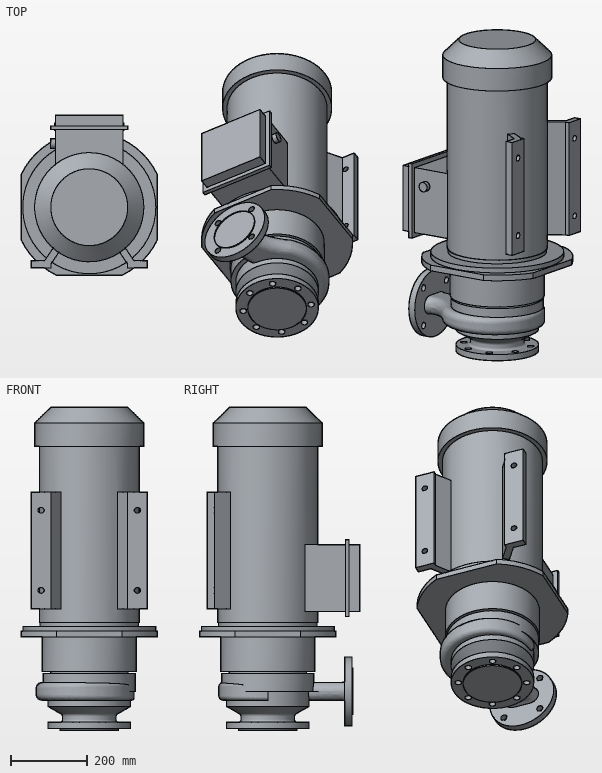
import cadquery as cq
import math

total_height = 849.0
mounting_face_z = 261.0

suction_raised_radius = 77.0
raised_face_height = 4.0
suction_flange_radius = 109.0
suction_flange_top_z = 21.0
suction_bolt_circle_radius = 90.0
suction_bolt_count = 8
bolt_hole_radius = 8.5
neck_radius = 70.5
neck_lower_fillet = 7.0
neck_upper_fillet = 8.5
neck_straight_top_z = 36.0
cone_angle = math.radians(60)

casing_step_z = 102.0
casing_radius = 121.0
casing_top_z = 149.0
groove_radius = 102.0
lantern_bottom_z = 154.5
lantern_radius = 124.0
plate_bottom_z = 245.0
plate_radius = 199.0
plate_width = 358.0

volute_bottom_z = 79.0
volute_top_z = 126.0
volute_height = volute_top_z - volute_bottom_z
volute_mid_z = (volute_top_z + volute_bottom_z) / 2
volute_inner_radius = 51.0
volute_start_radius = 118.0
volute_end_radius = 145.0
volute_start_rounding = 8.0
volute_end_rounding = 18.0
run_out_rounding = 21.0
volute_end_angle = 225
volute_section_count = 6
volute_run_out = 51.0
sliver = 1.0

discharge_width = 92.0
discharge_flare = 2.0
flare_start_y = 193.5
discharge_flange_y = 202.0
discharge_flange_thickness = 19.5
discharge_flange_radius = 91.0
discharge_raised_radius = 61.0
discharge_raised_height = 2.5
discharge_bolt_circle_radius = 72.0
discharge_bolt_count = 4

motor_flange_radius = 175.0
motor_flange_top_z = 273.0
motor_neck_radius = 130.0
motor_neck_top_z = 283.5
motor_radius = 132.0
cap_bottom_z = 746.0
cap_radius = 143.5
cap_cone_z = 807.0
cap_top_radius = 101.0

box_width = 177.5
box_bottom_z = 312.0
box_top_z = 488.0
box_front_y = 242.0
box_mid_z = (box_bottom_z + box_top_z) / 2
rim_overhang = 13.0
rim_back_y = 204.0
rim_thickness = 10.0
gland_radius = 13.0
gland_length = 13.0
gland_y = 167.0
gland_z = 443.0

foot_bottom_z = 319.0
foot_top_z = 626.0
foot_inner_x = 100.0
foot_outer_x = 153.0
foot_front_y = -160.0
foot_back_y = -140.0
web_thickness = 19.0
web_angle = math.radians(56)
foot_hole_x = 126.5
foot_hole_radius = 8.0
foot_hole_heights = (368.0, 578.0)


def cylinder(radius, bottom_z, top_z):
    return cq.Workplane().workplane(offset=bottom_z).circle(radius).extrude(top_z - bottom_z)


def bolt_angles(count):
    """Angles of evenly spaced bolts that straddle the main axes."""
    return [2 * math.pi * (i + 0.5) / count for i in range(count)]


def make_pump_core():
    """Turned part of the pump, from the suction face up to the lantern."""
    arc_end_radius = neck_radius + neck_upper_fillet * (1 - math.cos(cone_angle))
    arc_end_z = neck_straight_top_z + neck_upper_fillet * math.sin(cone_angle)
    arc_mid_radius = neck_radius + neck_upper_fillet * (1 - math.cos(cone_angle / 2))
    arc_mid_z = neck_straight_top_z + neck_upper_fillet * math.sin(cone_angle / 2)
    cone_top_z = arc_end_z + (suction_flange_radius - arc_end_radius) / math.tan(cone_angle)
    neck_bottom_z = suction_flange_top_z + neck_lower_fillet
    profile = (
        cq.Workplane("XZ")
        .moveTo(0, 0)
        .lineTo(suction_raised_radius, 0)
        .lineTo(suction_raised_radius, raised_face_height)
        .lineTo(suction_flange_radius, raised_face_height)
        .lineTo(suction_flange_radius, suction_flange_top_z)
        .lineTo(neck_radius + neck_lower_fillet, suction_flange_top_z)
        .radiusArc((neck_radius, neck_bottom_z), neck_lower_fillet)
        .lineTo(neck_radius, neck_straight_top_z)
        .threePointArc((arc_mid_radius, arc_mid_z), (arc_end_radius, arc_end_z))
        .lineTo(suction_flange_radius, cone_top_z)
        .lineTo(suction_flange_radius, casing_step_z)
        .lineTo(casing_radius, casing_step_z)
        .lineTo(casing_radius, casing_top_z)
        .lineTo(groove_radius, casing_top_z)
        .lineTo(groove_radius, lantern_bottom_z)
        .lineTo(lantern_radius, lantern_bottom_z)
        .lineTo(lantern_radius, plate_bottom_z)
        .lineTo(0, plate_bottom_z)
        .close()
    )
    return profile.revolve(360, (0, 0, 0), (0, 1, 0))


def make_suction_bolt_holes():
    centres = [
        (suction_bolt_circle_radius * math.cos(a), suction_bolt_circle_radius * math.sin(a))
        for a in bolt_angles(suction_bolt_count)
    ]
    return cq.Workplane().pushPoints(centres).circle(bolt_hole_radius).extrude(suction_flange_top_z)


def make_mounting_plate():
    """Round plate with four flats."""
    disc = cylinder(plate_radius, plate_bottom_z, mounting_face_z)
    square = cq.Workplane().rect(plate_width, plate_width).extrude(mounting_face_z)
    return disc.intersect(square)


def rounded_section(plane, width, height, rounding):
    """Closed rectangle with round corners, centred on the plane's origin."""
    x, y = width / 2, height / 2
    xi, yi = x - rounding, y - rounding
    return (
        cq.Workplane(plane)
        .moveTo(-xi, -y)
        .lineTo(xi, -y)
        .radiusArc((x, -yi), -rounding)
        .lineTo(x, yi)
        .radiusArc((xi, y), -rounding)
        .lineTo(-xi, y)
        .radiusArc((-x, yi), -rounding)
        .lineTo(-x, -yi)
        .radiusArc((-xi, -y), -rounding)
        .close()
        .val()
    )


def scroll_rounding(fraction):
    """Corner rounding of the scroll at a fraction of its sweep."""
    return volute_start_rounding + (volute_end_rounding - volute_start_rounding) * fraction


def volute_section(fraction, rounding, run_out=0):
    """Radial section of the scroll at a fraction of its sweep, moved onward by run_out."""
    angle = math.radians(volute_end_angle * fraction)
    outer_radius = volute_start_radius + (volute_end_radius - volute_start_radius) * fraction
    mid_radius = (outer_radius + volute_inner_radius) / 2
    outward = (math.cos(angle), -math.sin(angle), 0)
    onward = (-math.sin(angle), -math.cos(angle), 0)
    centre_x = mid_radius * outward[0] + run_out * onward[0]
    centre_y = mid_radius * outward[1] + run_out * onward[1]
    plane = cq.Plane((centre_x, centre_y, volute_mid_z), outward, onward)
    return rounded_section(plane, outer_radius - volute_inner_radius, volute_height, rounding)


def discharge_section(y, growth):
    """Round-ended section of the discharge pipe, widened all round by growth."""
    plane = cq.Plane((0, y, volute_mid_z), (-1, 0, 0), (0, 1, 0))
    height = volute_height + 2 * growth
    return rounded_section(plane, discharge_width + 2 * growth, height, (height - sliver) / 2)


def make_volute():
    """Scroll that grows around the casing and runs out to the discharge flange."""
    fractions = [i / (volute_section_count - 1) for i in range(volute_section_count)]
    sections = [volute_section(fraction, scroll_rounding(fraction)) for fraction in fractions]
    run_out_end = volute_section(1, run_out_rounding, volute_run_out)
    pipe_end = discharge_section(flare_start_y, 0)
    flare_end = discharge_section(discharge_flange_y, discharge_flare)
    scroll = cq.Solid.makeLoft(sections)
    discharge_pipe = cq.Solid.makeLoft([sections[-1], run_out_end, pipe_end])
    flare = cq.Solid.makeLoft([pipe_end, flare_end], True)
    return cq.Workplane(scroll).union(cq.Workplane(discharge_pipe)).union(cq.Workplane(flare))


def make_discharge_flange():
    plane = cq.Plane((0, discharge_flange_y, volute_mid_z), (-1, 0, 0), (0, 1, 0))
    bolts = [
        (discharge_bolt_circle_radius * math.cos(a), discharge_bolt_circle_radius * math.sin(a))
        for a in bolt_angles(discharge_bolt_count)
    ]
    disc = cq.Workplane(plane).circle(discharge_flange_radius).extrude(discharge_flange_thickness)
    holes = (
        cq.Workplane(plane).pushPoints(bolts).circle(bolt_hole_radius).extrude(discharge_flange_thickness)
    )
    raised_face = (
        cq.Workplane(plane)
        .circle(discharge_raised_radius)
        .extrude(discharge_flange_thickness + discharge_raised_height)
    )
    return disc.cut(holes).union(raised_face)


def make_pump():
    return (
        make_pump_core()
        .cut(make_suction_bolt_holes())
        .union(make_mounting_plate())
        .union(make_volute())
        .union(make_discharge_flange())
    )


def make_motor_barrel():
    """Turned part of the motor, with its flange and its conical fan cap."""
    flange = cylinder(motor_flange_radius, mounting_face_z, motor_flange_top_z)
    neck = cylinder(motor_neck_radius, motor_flange_top_z, motor_neck_top_z)
    barrel = cylinder(motor_radius, motor_neck_top_z, cap_bottom_z)
    cap = (
        cq.Workplane("XZ")
        .moveTo(0, cap_bottom_z)
        .lineTo(cap_radius, cap_bottom_z)
        .lineTo(cap_radius, cap_cone_z)
        .lineTo(cap_top_radius, total_height)
        .lineTo(0, total_height)
        .close()
        .revolve(360, (0, 0, 0), (0, 1, 0))
    )
    return flange.union(neck).union(barrel).union(cap)


def box_slab(width, height, back_y, front_y):
    """Block centred on the terminal box, between two Y positions."""
    depth = front_y - back_y
    centre = (0, (back_y + front_y) / 2, box_mid_z)
    return cq.Workplane().box(width, depth, height).translate(centre)


def make_terminal_box():
    height = box_top_z - box_bottom_z
    box = box_slab(box_width, height, 0, box_front_y)
    rim = box_slab(
        box_width + 2 * rim_overhang, height + 2 * rim_overhang, rim_back_y, rim_back_y + rim_thickness
    )
    gland_plane = cq.Plane((-box_width / 2, gland_y, gland_z), (0, 1, 0), (-1, 0, 0))
    gland = cq.Workplane(gland_plane).circle(gland_radius).extrude(gland_length)
    return box.union(rim).union(gland)


def make_right_foot():
    """Foot pad with a slanted web that reaches into the barrel; the +X one of the pair."""
    slope = math.tan(web_angle)
    web_inner_y = -foot_inner_x * slope
    offset_x = web_thickness / math.sin(web_angle)
    web_root_y = -motor_radius / 2
    web_root_x = -web_root_y / slope
    foot = (
        cq.Workplane()
        .workplane(offset=foot_bottom_z)
        .moveTo(foot_inner_x, foot_front_y)
        .lineTo(foot_outer_x, foot_front_y)
        .lineTo(foot_outer_x, foot_back_y)
        .lineTo(-foot_back_y / slope + offset_x, foot_back_y)
        .lineTo(web_root_x + offset_x, web_root_y)
        .lineTo(web_root_x, web_root_y)
        .lineTo(foot_inner_x, web_inner_y)
        .close()
        .extrude(foot_top_z - foot_bottom_z)
    )
    hole_centres = [(foot_hole_x, z) for z in foot_hole_heights]
    holes = (
        cq.Workplane("XZ", origin=(0, foot_back_y, 0))
        .pushPoints(hole_centres)
        .circle(foot_hole_radius)
        .extrude(foot_back_y - foot_front_y)
    )
    return foot.cut(holes)


def make_motor():
    right_foot = make_right_foot()
    left_foot = right_foot.mirror("YZ")
    return make_motor_barrel().union(make_terminal_box()).union(right_foot).union(left_foot)


pump = make_pump()
motor = make_motor()

result = cq.Compound.makeCompound([pump.solids().val(), motor.solids().val()])